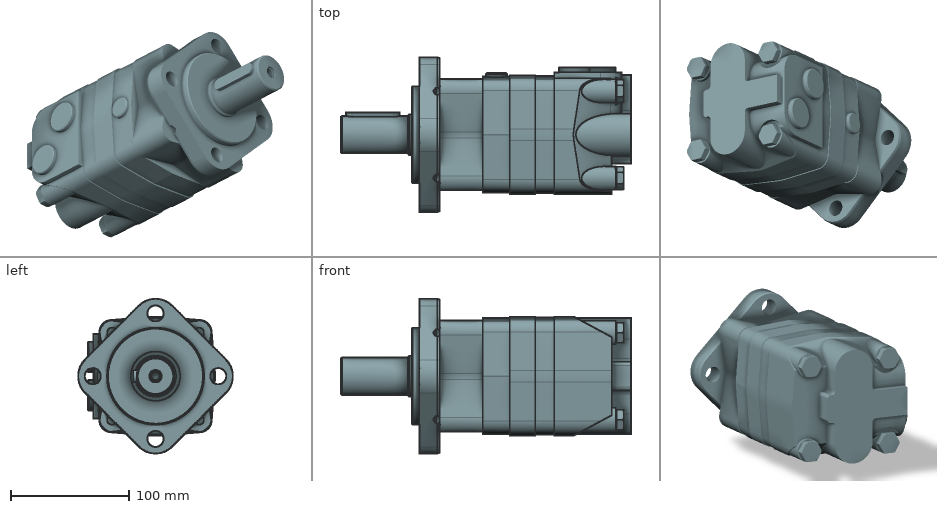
import cadquery as cq
import math

COLLAR_X = 56.5
SPIGOT_X = 60.0
FLANGE_X = 66.4
WAIST_X = 83.8
SHOULDER_X = 120.0
GEAR_X = 142.8
PLATE_X = 164.5
COVER_X = 180.7
COVER_END_X = 229.5
BOSS_END_X = 232.8
REAR_X = 245.8

BOLT_OFFSET = 36.9
WAIST_CORNER, WAIST_TILT, WAIST_BLEND = 10.3, -10.5, 2.5
SHOULDER_CORNER, SHOULDER_TILT, SHOULDER_BLEND = 9.5, 4.5, 0.2
GEAR_CORNER, PLATE_CORNER, STACK_TILT, STACK_BLEND = 10.8, 10.0, 4.7, 5.0

FLANGE_REACH = 65.6
FLANGE_CORNER = 20.0
FLANGE_CHAMFER_LENGTH, FLANGE_CHAMFER_HEIGHT = 2.2, 0.7
MOUNT_HOLE_D = 13.5
MOUNT_HOLE_OFFSET = 53.0
SPIGOT_D = 82.3
SPIGOT_CHAMFER = 1.0

SHAFT_D = 32.0
SHAFT_CHAMFER = 1.0
COLLAR_D = 35.0
COLLAR_CHAMFER = 1.5
JOURNAL_D = 41.8
CENTRE_MOUTH_D, CENTRE_STEP_D, CENTRE_HOLE_D = 10.5, 8.4, 6.6
CENTRE_MOUTH_DEPTH, CENTRE_STEP_DEPTH, CENTRE_HOLE_DEPTH = 2.0, 4.0, 14.7
KEY_X, KEY_LENGTH = 4.2, 45.7
KEY_WIDTH = 10.0
KEY_TOP, KEY_HEIGHT = 19.0, 8.0

BOLT_D = 8.4
BOLT_HOLE_X = 80.5
DRILL_POINT_ANGLE = 118.0
HEAD_SIDES, HEAD_FLATS = 6, 17.0
HEAD_END_X = 239.7
HEAD_CHAMFER = 0.7
BEARING_FACE_D, BEARING_FACE_HEIGHT = 16.0, 0.7

DRAIN_X = 131.7
DRAIN_D = 18.0
DRAIN_TOP_Y = 52.4
DRAIN_CHAMFER = 1.0

BEVEL_START_X = 196.6
BEVEL_END_X = 228.3
BOLT_BOSS_D = 20.0
SPINE_HALF_WIDTH, SPINE_HALF_HEIGHT = 17.7, 49.5
SLAB_MIN_Y, SLAB_MAX_Y = -24.8, 50.6
SLAB_HALF_HEIGHT, SLAB_FILLET = 12.0, 3.0
SPOT_FACE_D = 27.0
PORT_BLOCK_END_X, PORT_BLOCK_HALF_HEIGHT = 237.7, 36.0
PORT_BLOCK_CORNER, PORT_BLOCK_Y = 18.0, 52.8
PORT_D = 26.0
PORT_CHAMFER = 0.7
PORT_TOP_Y = 57.3
PORT_CENTRES = [(197.6, 16.2), (219.7, -16.2)]

BOLT_CENTRES = [(y, z) for y in (-BOLT_OFFSET, BOLT_OFFSET) for z in (-BOLT_OFFSET, BOLT_OFFSET)]


def plane_at(x):
    """Sketch plane across the shaft axis: local x is Y, local y is Z, extrusion goes to +X."""
    return cq.Workplane("YZ", origin=(x, 0, 0))


def cylinder(x_start, x_end, diameter):
    return plane_at(x_start).circle(diameter / 2).extrude(x_end - x_start)


def turned(point, quarter_turns):
    """Point (y, z) turned clockwise about the shaft axis."""
    y, z = point
    for _ in range(quarter_turns):
        y, z = z, -y
    return y, z


def drilled_hole(bottom_x, mouth_x, diameter):
    """Blind hole on the X axis with a drill point beyond its bottom, away from the mouth."""
    radius = diameter / 2
    point_length = radius / math.tan(math.radians(DRILL_POINT_ANGLE / 2))
    point_x = bottom_x + math.copysign(point_length, bottom_x - mouth_x)
    profile = [(point_x, 0), (bottom_x, radius), (mouth_x, radius), (mouth_x, 0)]
    return cq.Workplane("XY").polyline(profile).close().revolve(360, (0, 0, 0), (1, 0, 0))


def square_section(x_start, x_end, corner, tilt, blend):
    """Square prism; each side leans by `tilt` degrees to a ridge (or groove) of half width `blend`."""
    angle = math.radians(tilt)
    tangent = (BOLT_OFFSET + corner * math.sin(angle), BOLT_OFFSET + corner * math.cos(angle))
    blend_z = tangent[1] + math.tan(angle) * (tangent[0] - blend)
    ridge_z = blend_z + blend * math.tan(angle / 2)
    corner_mid = BOLT_OFFSET + corner * math.sqrt(0.5)
    outline = plane_at(x_start).moveTo(-tangent[0], tangent[1])
    for turn in range(4):
        outline = outline.lineTo(*turned((-blend, blend_z), turn))
        outline = outline.threePointArc(turned((0, ridge_z), turn), turned((blend, blend_z), turn))
        outline = outline.lineTo(*turned(tangent, turn))
        next_start = turned((-tangent[0], tangent[1]), turn + 1)
        outline = outline.threePointArc(turned((corner_mid, corner_mid), turn), next_start)
    return outline.close().extrude(x_end - x_start)


def bolt_bores(x_start, x_end):
    return plane_at(x_start).pushPoints(BOLT_CENTRES).circle(BOLT_D / 2).extrude(x_end - x_start)


def make_flange():
    centre = FLANGE_REACH - FLANGE_CORNER
    edge = FLANGE_CORNER * math.sqrt(0.5)
    outline = plane_at(FLANGE_X).moveTo(-edge, centre + edge)
    for turn in range(4):
        outline = outline.threePointArc(turned((0, FLANGE_REACH), turn), turned((edge, centre + edge), turn))
        outline = outline.lineTo(*turned((-edge, centre + edge), turn + 1))
    flange = outline.close().extrude(WAIST_X - FLANGE_X)
    flange = flange.faces(">X").chamfer(FLANGE_CHAMFER_LENGTH, FLANGE_CHAMFER_HEIGHT)
    mount_centres = [turned((0, MOUNT_HOLE_OFFSET), turn) for turn in range(4)]
    holes = plane_at(FLANGE_X).pushPoints(mount_centres).circle(MOUNT_HOLE_D / 2)
    return flange.cut(holes.extrude(WAIST_X - FLANGE_X))


def make_drain_plug():
    plug = cq.Workplane("XZ", origin=(DRAIN_X, BOLT_OFFSET, 0)).circle(DRAIN_D / 2)
    return plug.extrude(BOLT_OFFSET - DRAIN_TOP_Y).faces(">Y").chamfer(DRAIN_CHAMFER)


def make_threaded_holes():
    """Blind bolt holes running out of the waist into the back of the flange."""
    hole = drilled_hole(BOLT_HOLE_X, GEAR_X, BOLT_D)
    holes = cq.Workplane("XY")
    for y, z in BOLT_CENTRES:
        holes = holes.union(hole.translate((0, y, z)))
    return holes


def make_housing():
    spigot = cylinder(SPIGOT_X, FLANGE_X, SPIGOT_D).faces("<X").chamfer(SPIGOT_CHAMFER)
    waist = square_section(WAIST_X, SHOULDER_X, WAIST_CORNER, WAIST_TILT, WAIST_BLEND)
    shoulder = square_section(SHOULDER_X, GEAR_X, SHOULDER_CORNER, SHOULDER_TILT, SHOULDER_BLEND)
    housing = make_flange().union(spigot).union(waist).union(shoulder).union(make_drain_plug())
    return housing.cut(make_threaded_holes()).cut(cylinder(SPIGOT_X, WAIST_X, JOURNAL_D))


def make_plate(x_start, x_end, corner):
    plate = square_section(x_start, x_end, corner, STACK_TILT, STACK_BLEND)
    return plate.cut(bolt_bores(x_start, x_end))


def make_key():
    key = cq.Workplane("XZ", origin=(KEY_X + KEY_LENGTH / 2, KEY_TOP, 0))
    return key.slot2D(KEY_LENGTH, KEY_WIDTH).extrude(KEY_HEIGHT)


def make_shaft(key):
    shaft = cylinder(0, COLLAR_X, SHAFT_D).faces("<X").chamfer(SHAFT_CHAMFER)
    collar = cylinder(COLLAR_X, SPIGOT_X, COLLAR_D).faces("<X").chamfer(COLLAR_CHAMFER)
    journal = cylinder(SPIGOT_X, WAIST_X, JOURNAL_D)
    centre_hole = cylinder(0, CENTRE_MOUTH_DEPTH, CENTRE_MOUTH_D)
    centre_hole = centre_hole.union(cylinder(0, CENTRE_STEP_DEPTH, CENTRE_STEP_D))
    centre_hole = centre_hole.union(drilled_hole(CENTRE_HOLE_DEPTH, 0, CENTRE_HOLE_D))
    return shaft.union(collar).union(journal).cut(centre_hole).cut(key)


def block_height(x):
    """Half height of the port block at a station on its rounded rear corner."""
    along = x - (PORT_BLOCK_END_X - PORT_BLOCK_CORNER)
    return PORT_BLOCK_HALF_HEIGHT - PORT_BLOCK_CORNER + math.sqrt(PORT_BLOCK_CORNER**2 - along**2)


def bevel_cutter():
    """Wedge above the sloping rear of the cover's top side; it ends on the port block's rounding."""
    start_z = BOLT_OFFSET + GEAR_CORNER + math.tan(math.radians(STACK_TILT)) * BOLT_OFFSET
    end_mid_x = (BEVEL_END_X + COVER_END_X) / 2
    wedge = cq.Workplane("XZ").moveTo(BEVEL_START_X, start_z).lineTo(BEVEL_END_X, block_height(BEVEL_END_X))
    wedge = wedge.threePointArc(
        (end_mid_x, block_height(end_mid_x)), (COVER_END_X, block_height(COVER_END_X))
    )
    wedge = wedge.lineTo(COVER_END_X, FLANGE_REACH).lineTo(BEVEL_START_X, FLANGE_REACH).close()
    return wedge.extrude(FLANGE_REACH, both=True)


def make_spine():
    """Upright rounded spine at the rear, crossed by a flat slab with rounded edges and roots."""
    spine = plane_at(BEVEL_START_X).slot2D(2 * SPINE_HALF_HEIGHT, 2 * SPINE_HALF_WIDTH, 90)
    spine = spine.extrude(REAR_X - BEVEL_START_X)
    slab = plane_at(COVER_END_X).center((SLAB_MIN_Y + SLAB_MAX_Y) / 2, 0)
    slab = slab.rect(SLAB_MAX_Y - SLAB_MIN_Y, 2 * SLAB_HALF_HEIGHT).extrude(REAR_X - COVER_END_X)
    slab = slab.edges("|X and <Y").fillet(SLAB_FILLET)
    spine = spine.union(slab)
    reach = SPINE_HALF_WIDTH + SLAB_FILLET / 2
    roots = cq.selectors.BoxSelector(
        (COVER_END_X, -reach, -SLAB_FILLET - SLAB_HALF_HEIGHT),
        (REAR_X, reach, SLAB_FILLET + SLAB_HALF_HEIGHT),
    )
    return spine.edges("|X").edges(roots).fillet(SLAB_FILLET)


def make_port_block():
    length = PORT_BLOCK_END_X - COVER_X
    block = cq.Workplane("XZ", origin=(COVER_X + length / 2, 0, 0)).rect(length, 2 * PORT_BLOCK_HALF_HEIGHT)
    block = block.extrude(-PORT_BLOCK_Y).edges("|Y and >X").fillet(PORT_BLOCK_CORNER)
    pads = cq.Workplane("XZ", origin=(0, PORT_BLOCK_Y, 0)).pushPoints(PORT_CENTRES).circle(PORT_D / 2)
    pads = pads.extrude(PORT_BLOCK_Y - PORT_TOP_Y).faces(">Y").chamfer(PORT_CHAMFER)
    return block.union(pads)


def make_cover():
    cover = square_section(COVER_X, COVER_END_X, GEAR_CORNER, STACK_TILT, STACK_BLEND)
    top_bevel = bevel_cutter()
    cover = cover.cut(top_bevel).cut(top_bevel.mirror("XY"))
    bosses = plane_at(COVER_X).pushPoints(BOLT_CENTRES).circle(BOLT_BOSS_D / 2)
    cover = cover.union(bosses.extrude(BOSS_END_X - COVER_X))
    cover = cover.union(make_spine()).union(make_port_block())
    spot_faces = plane_at(BOSS_END_X).pushPoints(BOLT_CENTRES).circle(SPOT_FACE_D / 2)
    return cover.cut(spot_faces.extrude(REAR_X - BOSS_END_X)).cut(bolt_bores(COVER_X, BOSS_END_X))


def make_bolt(y, z):
    head_x = BOSS_END_X + BEARING_FACE_HEIGHT
    corners_d = HEAD_FLATS / math.cos(math.pi / HEAD_SIDES)
    head = plane_at(head_x).polygon(HEAD_SIDES, corners_d).extrude(HEAD_END_X - head_x)
    turned_blank = cylinder(head_x, HEAD_END_X, corners_d).faces(">X").chamfer(HEAD_CHAMFER)
    shank = cylinder(WAIST_X, head_x, BOLT_D)
    bearing_face = cylinder(BOSS_END_X, head_x, BEARING_FACE_D)
    return head.intersect(turned_blank).union(bearing_face).union(shank).translate((0, y, z))


key = make_key()
shaft = make_shaft(key)
housing = make_housing()
gear_ring = make_plate(GEAR_X, PLATE_X, GEAR_CORNER)
spacer_plate = make_plate(PLATE_X, COVER_X, PLATE_CORNER)
cover = make_cover()
bolts = [make_bolt(y, z).val() for y, z in BOLT_CENTRES]

result = cq.Compound.makeCompound(
    [shaft.val(), key.val(), housing.val(), gear_ring.val(), spacer_plate.val(), cover.val(), *bolts]
)